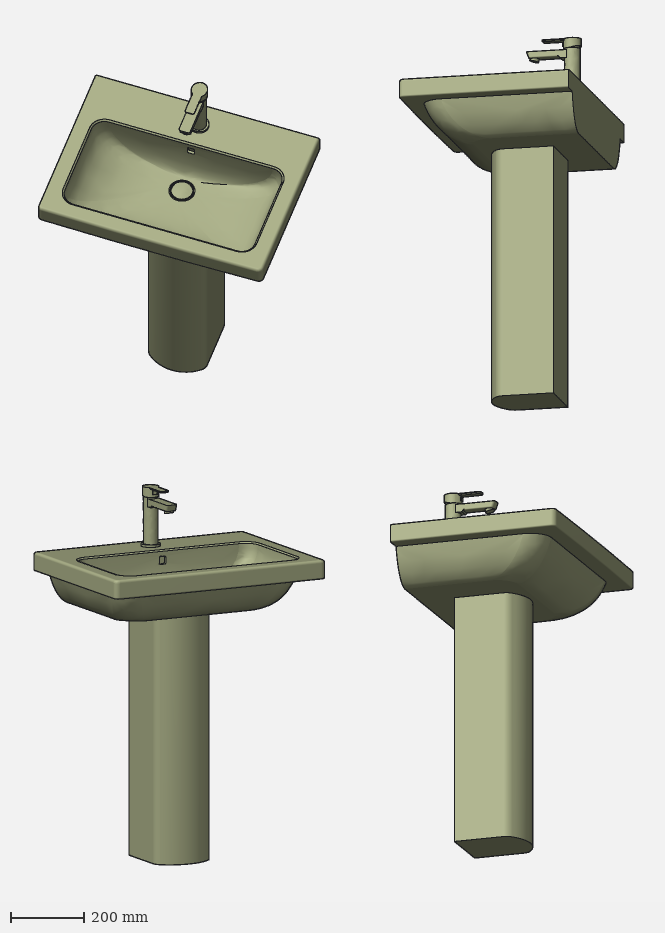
import cadquery as cq
import math


total_height = 1012.87
tap_height = 165.5
rim_z = total_height - tap_height

slab_width = 650.29
slab_depth = 480.19
slab_thickness = 52.0
front_bow = 3.0
slab_corner_radius = 14.0
slab_top_fillet = 8.0
slab_bottom_fillet = 4.0

belly_bottom_z = rim_z - 153.0
belly_top_half_width = 280.0
belly_bottom_half_width = 205.0
belly_top_front = 429.0
belly_bottom_front = 308.0
belly_corner_radius = 60.0
belly_arc_angle = 68.0
belly_levels = 5

drain_y = -211.0
bowl_half_width = 275.0
bowl_back_reach = 75.0
bowl_front_reach = 219.0
bowl_depth = 117.0
bowl_corner_radius = 38.0
bowl_floor_reach = 36.5
bowl_exponent = 2.4
bowl_levels = 7
bowl_lip_width = 5.0
bowl_lip_depth = 4.0

overflow_width = 20.0
overflow_height = 22.0
overflow_fillet = 4.0
overflow_drop = 29.0
overflow_recess = 8.0

drain_radius = 35.5
drain_cap_radius = 30.0
drain_recess_depth = 6.0
drain_flange_rise = 1.5
drain_groove_width = 2.0
drain_cap_rise = 4.0

pedestal_width = 169.0
pedestal_back = 100.0
pedestal_front = 291.0
pedestal_bulge = 38.0
pedestal_corner_radius = 30.0

tap_y = -67.0
tap_half_width = 19.7
tap_half_depth = 22.0
tap_body_height = 138.0
tap_base_radius = 26.5
tap_base_height = 6.5

spout_width = 32.0
spout_top = 134.0
spout_bottom = 115.5
spout_tip = 193.5
spout_tip_slope = 7.0
spout_fillet = 6.0
spout_underside_fillet = 3.0
collar_reach = 101.5
collar_drop = 4.0

aerator_radius = 12.5
aerator_y = -172.5
aerator_drop = 7.0
aerator_tilt = 15.0

handle_half_width = 22.3
handle_half_depth = 24.5
neck_inset = 4.0
handle_back_gap = 7.5
lever_width = 27.0
lever_thickness = 5.0
lever_tip = 151.0
lever_corner_radius = 6.0
lever_tip_bevel = 3.0
button_width = 13.0
button_bottom = 146.5
button_top = 156.5
button_reach = 93.5


def rounded_section(half_width, back_y, front_y, radius, z, rounded_corners=None):
    """Rectangle at height z with all corners rounded, or only the selected ones."""
    outline = cq.Sketch().rect(2 * half_width, back_y - front_y).vertices(rounded_corners).fillet(radius)
    return outline.moved(cq.Location(cq.Vector(0, (back_y + front_y) / 2, z)))


def blend(start, end, ratio):
    """Value part of the way from start to end."""
    return start + (end - start) * ratio


def make_slab():
    """Deck slab with a gently bowed front edge and a square back edge at the wall."""
    half_width = slab_width / 2
    side_front = front_bow - slab_depth
    slab = (
        cq.Workplane("XY")
        .workplane(offset=rim_z - slab_thickness)
        .moveTo(-half_width, 0)
        .lineTo(-half_width, side_front)
        .threePointArc((0, -slab_depth), (half_width, side_front))
        .lineTo(half_width, 0)
        .close()
        .extrude(slab_thickness)
    )
    slab = slab.edges("|Z").edges("<Y").fillet(slab_corner_radius)
    slab = slab.faces(">Z").edges("not >Y").fillet(slab_top_fillet)
    return slab.faces("<Z").edges("not >Y").fillet(slab_bottom_fillet)


def make_belly():
    """Sides and front curved as stretched arcs, flat against the wall at the back."""
    height = rim_z - slab_thickness - belly_bottom_z
    arc = math.radians(belly_arc_angle)
    sections = []
    for level in range(belly_levels):
        angle = arc * level / (belly_levels - 1)
        spread = math.sin(angle) / math.sin(arc)
        rise = (1 - math.cos(angle)) / (1 - math.cos(arc))
        half_width = blend(belly_bottom_half_width, belly_top_half_width, spread)
        front = blend(belly_bottom_front, belly_top_front, spread)
        z = belly_bottom_z + height * rise
        sections.append(rounded_section(half_width, 0, -front, belly_corner_radius, z, "<Y"))
    return cq.Workplane("XY").placeSketch(*sections).loft()


def make_bowl():
    """Superellipse walls running from the rectangular opening to a round floor at the drain."""
    sections = []
    for level in range(bowl_levels):
        depth_ratio = math.sin(math.radians(90) * level / (bowl_levels - 1))
        inward = 1 - (1 - depth_ratio ** bowl_exponent) ** (1 / bowl_exponent)
        sections.append(
            rounded_section(
                blend(bowl_half_width, bowl_floor_reach, inward),
                drain_y + blend(bowl_back_reach, bowl_floor_reach, inward),
                drain_y - blend(bowl_front_reach, bowl_floor_reach, inward),
                blend(bowl_corner_radius, drain_radius, inward),
                rim_z - bowl_lip_depth - (bowl_depth - bowl_lip_depth) * depth_ratio,
            )
        )
    return cq.Workplane("XY").placeSketch(*sections).loft()


def make_bowl_lip():
    """Bevel between the deck and the bowl walls."""

    def lip_section(margin, z):
        return rounded_section(
            bowl_half_width + margin,
            drain_y + bowl_back_reach + margin,
            drain_y - bowl_front_reach - margin,
            bowl_corner_radius + margin,
            z,
        )

    inner = lip_section(0, rim_z - bowl_lip_depth)
    outer = lip_section(bowl_lip_width, rim_z)
    return cq.Workplane("XY").placeSketch(inner, outer).loft()


def make_overflow():
    """Rounded slot in the back wall of the bowl."""
    return (
        cq.Workplane("XZ")
        .center(0, rim_z - overflow_drop)
        .rect(overflow_width, overflow_height)
        .extrude(bowl_back_reach)
        .edges("|Y")
        .fillet(overflow_fillet)
        .translate((0, drain_y + bowl_back_reach + overflow_recess, 0))
    )


floor_z = rim_z - bowl_depth
recess_z = floor_z - drain_recess_depth

drain_recess = (
    cq.Workplane("XY", origin=(0, drain_y, recess_z))
    .circle(drain_radius)
    .extrude(bowl_depth / 2)
)
basin = (
    make_slab()
    .union(make_belly())
    .cut(make_bowl())
    .cut(make_bowl_lip())
    .cut(make_overflow())
    .cut(drain_recess)
)


def make_drain():
    """Flange ring and domed cap with a shallow groove between them."""
    flange_height = drain_recess_depth + drain_flange_rise
    groove_height = drain_recess_depth / 2
    dome_radius = (drain_cap_radius ** 2 + drain_cap_rise ** 2) / (2 * drain_cap_rise)
    flange_inner = drain_cap_radius + drain_groove_width
    return (
        cq.Workplane("XZ", origin=(0, drain_y, recess_z))
        .moveTo(0, 0)
        .lineTo(drain_radius, 0)
        .lineTo(drain_radius, drain_recess_depth)
        .lineTo(flange_inner, flange_height)
        .lineTo(flange_inner, groove_height)
        .lineTo(drain_cap_radius, groove_height)
        .lineTo(drain_cap_radius, flange_height)
        .radiusArc((0, flange_height + drain_cap_rise), -dome_radius)
        .close()
        .revolve(360, (0, 0, 0), (0, 1, 0))
    )


drain = make_drain()


def make_pedestal():
    """Column with a flat back and sides and a bowed, rounded front."""
    half_width = pedestal_width / 2
    side_front = pedestal_bulge - pedestal_front
    column = (
        cq.Workplane("XY")
        .moveTo(-half_width, -pedestal_back)
        .lineTo(-half_width, side_front)
        .threePointArc((0, -pedestal_front), (half_width, side_front))
        .lineTo(half_width, -pedestal_back)
        .close()
        .extrude(belly_bottom_z)
    )
    return column.edges("|Z").edges("<Y").fillet(pedestal_corner_radius)


pedestal = make_pedestal()


def make_spout():
    """Straight spout with a deeper collar next to the tap body and a sloped tip."""
    spout = (
        cq.Workplane("YZ")
        .moveTo(tap_y, rim_z + spout_top)
        .lineTo(-spout_tip, rim_z + spout_top)
        .lineTo(spout_tip_slope - spout_tip, rim_z + spout_bottom)
        .lineTo(-collar_reach, rim_z + spout_bottom)
        .lineTo(collar_drop - collar_reach, rim_z + spout_bottom - collar_drop)
        .lineTo(tap_y, rim_z + spout_bottom - collar_drop)
        .close()
        .extrude(spout_width / 2, both=True)
    )
    spout = spout.faces("<Y").edges("not #Z").edges("not |X").fillet(spout_fillet)
    underside = cq.selectors.BoxSelector(
        (-spout_width, -spout_tip, rim_z + spout_bottom - collar_drop / 2),
        (spout_width, -collar_reach, rim_z + spout_bottom + collar_drop / 2),
    )
    return spout.edges(underside).edges("|Y").fillet(spout_underside_fillet)


def make_aerator():
    """Short outlet tilted under the spout tip."""
    return (
        cq.Workplane("XY")
        .circle(aerator_radius)
        .extrude(2 * aerator_drop)
        .translate((0, 0, -aerator_drop))
        .rotate((0, 0, 0), (1, 0, 0), -aerator_tilt)
        .translate((0, aerator_y, rim_z + spout_bottom))
    )


def make_tap_body():
    deck = cq.Workplane("XY", origin=(0, tap_y, rim_z))
    base_ring = deck.circle(tap_base_radius).extrude(tap_base_height)
    post = deck.ellipse(tap_half_width, tap_half_depth).extrude(tap_body_height)
    return base_ring.union(post).union(make_spout()).union(make_aerator())


tap_body = make_tap_body()


def make_handle():
    """Cap with a neck inside its wedge-cut underside, a flat lever and a small front button."""
    seat_z = rim_z + tap_body_height
    height = tap_height - tap_body_height
    seat = cq.Workplane("XY", origin=(0, tap_y, seat_z))
    skirt = seat.ellipse(handle_half_width, handle_half_depth).extrude(height)
    back_wedge = (
        cq.Workplane("YZ")
        .moveTo(tap_y, seat_z)
        .lineTo(tap_y + handle_half_depth, seat_z + handle_back_gap)
        .lineTo(tap_y + handle_half_depth, seat_z)
        .close()
        .extrude(handle_half_depth, both=True)
    )
    neck = seat.ellipse(handle_half_width - neck_inset, handle_half_depth - neck_inset).extrude(height)

    lever_length = lever_tip + tap_y
    lever = (
        cq.Workplane("XY", origin=(0, tap_y - lever_length / 2, total_height - lever_thickness))
        .rect(lever_width, lever_length)
        .extrude(lever_thickness)
        .edges("|Z and <Y")
        .fillet(lever_corner_radius)
        .faces("<Z")
        .edges("<Y")
        .chamfer(lever_tip_bevel)
    )
    button = (
        cq.Workplane("XY", origin=(0, (tap_y - button_reach) / 2, rim_z + button_bottom))
        .rect(button_width, button_reach + tap_y)
        .extrude(button_top - button_bottom)
    )
    return skirt.cut(back_wedge).union(neck).union(lever).union(button)


handle = make_handle()

result = cq.Compound.makeCompound(
    [basin.val(), drain.val(), pedestal.val(), tap_body.val(), handle.val()]
)